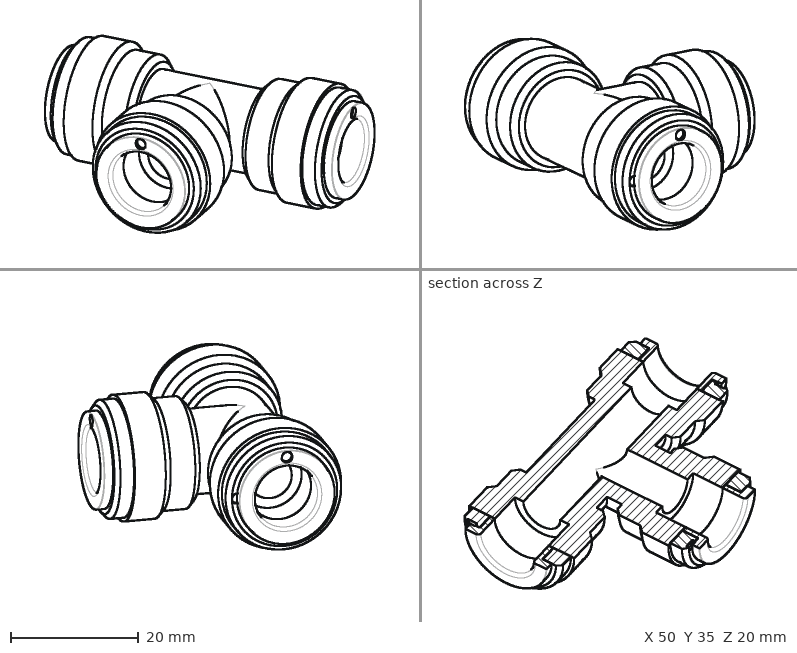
import cadquery as cq


arm_length = 25.0
tube_diameter = 13.5
flow_bore = 7.0
neck_diameter = 17.8
neck_chamfer = 1.0
shell_diameter = 20.0
neck_start = 9.5
shell_start = 14.5
shell_end = 20.6
seat_position = 15.0

cap_diameter = 18.8
cap_face_diameter = 17.1
cap_face = 23.55
cap_chamfer_length = 0.75

collet_head_diameter = 15.5
collet_head_fillet = 0.1
sleeve_diameter = 11.9
collet_bore = 10.2
collet_mouth_fillet = 0.55

mark_diameter = 1.7
mark_depth = 0.5
collet_mark_offset = 6.65
cap_mark_offset = 7.7

port_angles = (0, -90, 90)


def rod(diameter, start, end):
    """Cylinder on the Z axis between two heights."""
    return cq.Workplane("XY").workplane(offset=start).circle(diameter / 2).extrude(end - start)


def to_port(shape, angle):
    """Lay a shape modelled along +Z onto the -Y arm, then turn it to its port."""
    laid_down = shape.rotate((0, 0, 0), (1, 0, 0), 90)
    return laid_down.rotate((0, 0, 0), (0, 0, 1), angle)


def face_mark(face_height, x, y):
    """Cutter for a shallow round recess in a face at the given height."""
    return rod(mark_diameter, face_height - mark_depth, face_height).translate((x, y, 0))


def turned(profile):
    """Solid of revolution about Z from (radius, height) points."""
    return cq.Workplane("XZ").polyline(profile).close().revolve(360, (0, 0), (0, 1))


def make_arm():
    """Solid outside of one arm: tube, neck and stepped shell."""
    tube_radius = tube_diameter / 2
    neck_radius = neck_diameter / 2
    shell_radius = shell_diameter / 2
    shell_taper = shell_radius - neck_radius
    return turned([
        (0, 0),
        (tube_radius, 0),
        (tube_radius, neck_start),
        (neck_radius - neck_chamfer, neck_start),
        (neck_radius, neck_start + neck_chamfer),
        (neck_radius, shell_start),
        (shell_radius, shell_start + shell_taper),
        (shell_radius, shell_end),
        (0, shell_end),
    ])


def make_arm_cavity():
    """Flow bore and pipe socket of one arm."""
    socket = rod(collet_bore, seat_position, shell_end)
    return rod(flow_bore, 0, shell_end).union(socket)


def make_body():
    arms = [to_port(make_arm(), angle) for angle in port_angles]
    body = arms[0].union(arms[1]).union(arms[2])
    for angle in port_angles:
        body = body.cut(to_port(make_arm_cavity(), angle))
    return body


def make_cap():
    """Ring that closes the shell and guides the collet sleeve."""
    bore_radius = sleeve_diameter / 2
    cap = turned([
        (bore_radius, shell_end),
        (cap_diameter / 2, shell_end),
        (cap_diameter / 2, cap_face - cap_chamfer_length),
        (cap_face_diameter / 2, cap_face),
        (bore_radius, cap_face),
    ])
    return cap.cut(face_mark(cap_face, -cap_mark_offset, 0))


def make_collet():
    """Flanged sleeve that reaches from the arm end, through the cap, to the shell."""
    head = rod(collet_head_diameter, cap_face, arm_length).faces(">Z").edges().fillet(collet_head_fillet)
    sleeve = rod(sleeve_diameter, shell_end, cap_face)
    collet = head.union(sleeve).cut(rod(collet_bore, shell_end, arm_length))
    mouth = collet.faces(">Z").edges(cq.selectors.RadiusNthSelector(0))
    collet = mouth.fillet(collet_mouth_fillet)
    return collet.cut(face_mark(arm_length, 0, collet_mark_offset))


body = make_body()
caps = [to_port(make_cap(), angle) for angle in port_angles]
collets = [to_port(make_collet(), angle) for angle in port_angles]

result = cq.Compound.makeCompound(
    [body.val()] + [cap.val() for cap in caps] + [collet.val() for collet in collets]
)